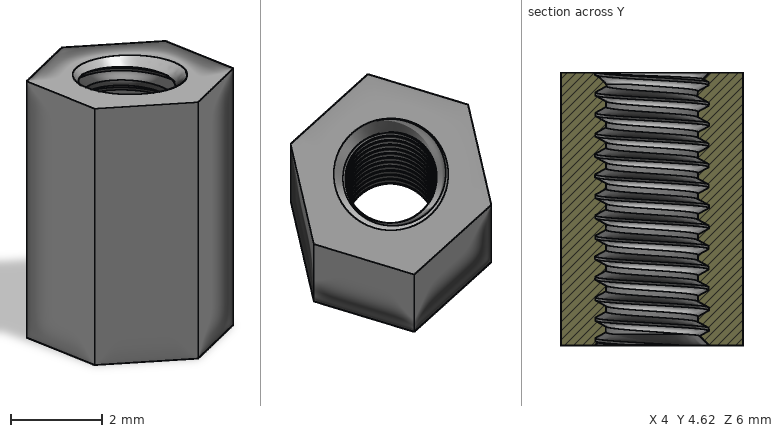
import cadquery as cq
import math

height = 6
across_flats = 4.0
flats_turn = 30
across_corners = across_flats / math.cos(math.pi / 6)

bore_radius = 1.01
major_radius = 1.25
pitch = 0.45
groove_mouth = 0.335
groove_root = 0.06
run_out = 2.3 * pitch
groove_start_angle = 47
part_turn = 102
inner_overlap = 0.01

countersink_radius = 1.26
countersink_depth = countersink_radius - bore_radius


def make_hex_body():
    return (
        cq.Workplane("XY")
        .polygon(6, across_corners)
        .extrude(height)
        .rotate((0, 0, 0), (0, 0, 1), flats_turn - part_turn)
    )


def make_bore_cutter():
    """Through bore with a 45 degree countersink at each end, as one revolved solid."""
    return (
        cq.Workplane("XZ")
        .moveTo(0, 0)
        .lineTo(countersink_radius, 0)
        .lineTo(bore_radius, countersink_depth)
        .lineTo(bore_radius, height - countersink_depth)
        .lineTo(countersink_radius, height)
        .lineTo(0, height)
        .close()
        .revolve(360, (0, 0, 0), (0, 1, 0))
    )


def make_thread_cutter():
    """Helical trapezoidal groove that runs out past both ends of the body."""
    inner_radius = bore_radius - inner_overlap
    path = cq.Wire.makeHelix(pitch, height + 2 * run_out, inner_radius)
    groove = (
        cq.Workplane("XZ")
        .moveTo(inner_radius, -groove_mouth / 2)
        .lineTo(major_radius, -groove_root / 2)
        .lineTo(major_radius, groove_root / 2)
        .lineTo(inner_radius, groove_mouth / 2)
        .close()
        .sweep(cq.Workplane(path), isFrenet=True)
    )
    return groove.translate((0, 0, -run_out)).rotate((0, 0, 0), (0, 0, 1), groove_start_angle)


threaded_body = make_hex_body().cut(make_thread_cutter()).cut(make_bore_cutter())
result = threaded_body.rotate((0, 0, 0), (0, 0, 1), part_turn)